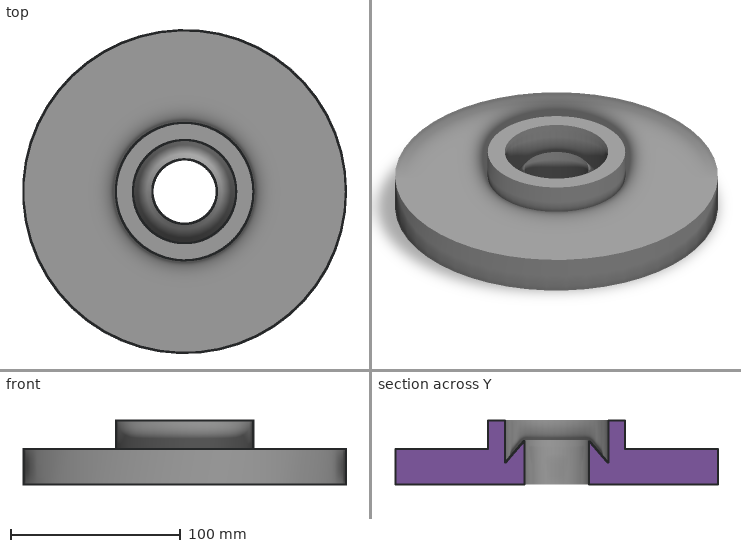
import cadquery as cq

flange_diameter = 190.0
flange_thickness = 21.0
hub_diameter = 81.0
total_height = 37.8
bore_diameter = 60.8
hole_diameter = 37.8
cone_tip_depth = 11.5
cone_height = 13.3

flange_radius = flange_diameter / 2
hub_radius = hub_diameter / 2
bore_radius = bore_diameter / 2
hole_radius = hole_diameter / 2
cone_tip = total_height - cone_tip_depth
cone_base = cone_tip - cone_height

half_section = (
    cq.Workplane("XZ")
    .moveTo(hole_radius, 0)
    .lineTo(flange_radius, 0)
    .lineTo(flange_radius, flange_thickness)
    .lineTo(hub_radius, flange_thickness)
    .lineTo(hub_radius, total_height)
    .lineTo(bore_radius, total_height)
    .lineTo(bore_radius, cone_base)
    .lineTo(hole_radius, cone_tip)
    .close()
)

result = half_section.revolve(360, (0, 0, 0), (0, 1, 0))